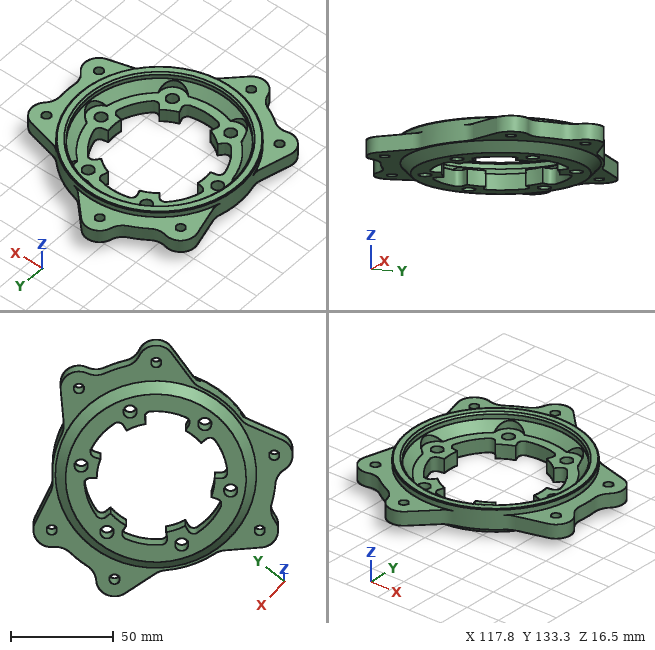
import cadquery as cq
import math

TOTAL_HEIGHT = 16.5
FLANGE_BOTTOM = 5.0
FLANGE_TOP = 13.0
FLOOR_TOP = 8.0

RING_RADIUS = 101.0 / 2
BORE_RADIUS = 91.0 / 2
CONE_TOP_RADIUS = 49.0
CONE_BOTTOM_RADIUS = CONE_TOP_RADIUS - FLANGE_BOTTOM
FLOOR_RADIUS = BORE_RADIUS - (FLANGE_TOP - FLOOR_TOP)
OUTER_CHAMFER = 0.5
BORE_CHAMFER = 1.0

PAIR_COUNT = 3
LUG_X = 55.0
LUG_Y = 20.0
LUG_RADIUS = 9.0
LUG_HOLE_DIAMETER = 5.0
LUG_CIRCLE_RADIUS = math.hypot(LUG_X, LUG_Y)
LUG_ANGLE = math.degrees(math.atan2(LUG_Y, LUG_X))
FLANK_NORMAL_ANGLE = 75.0
FLANK_FILLET = 10.0
SADDLE_FILLET = 10.0

OPENING_RADIUS = 35.0
TAB_INNER_RADIUS = 28.75
TAB_HALF_ANGLE = 10.0
TAB_FILLET = 3.0
TAB_COUNT = 6
TAB_HOLE_CIRCLE_RADIUS = 37.0
TAB_HOLE_DIAMETER = 6.5
TAB_CLEARANCE_RADIUS = 8.0


def polar(radius, angle, center=(0.0, 0.0)):
    """Point at a radius and an angle in degrees from a center."""
    turn = math.radians(angle)
    return (center[0] + radius * math.cos(turn), center[1] + radius * math.sin(turn))


def direction(start, end):
    """Angle in degrees of the line from start to end."""
    return math.degrees(math.atan2(end[1] - start[1], end[0] - start[0]))


def mirrored(point):
    """Point on the other side of the X axis."""
    return (point[0], -point[1])


def ring_body():
    """Dish turned about Z, with a conical underside and wall, a short bore and a closed flat floor."""
    profile = (
        cq.Workplane("XZ")
        .moveTo(0, 0)
        .lineTo(CONE_BOTTOM_RADIUS, 0)
        .lineTo(CONE_TOP_RADIUS, FLANGE_BOTTOM)
        .lineTo(RING_RADIUS, FLANGE_BOTTOM)
        .lineTo(RING_RADIUS, TOTAL_HEIGHT - OUTER_CHAMFER)
        .lineTo(RING_RADIUS - OUTER_CHAMFER, TOTAL_HEIGHT)
        .lineTo(BORE_RADIUS + BORE_CHAMFER, TOTAL_HEIGHT)
        .lineTo(BORE_RADIUS, TOTAL_HEIGHT - BORE_CHAMFER)
        .lineTo(BORE_RADIUS, FLANGE_TOP)
        .lineTo(FLOOR_RADIUS, FLOOR_TOP)
        .lineTo(0, FLOOR_TOP)
        .close()
    )
    return profile.revolve(360, (0, 0, 0), (0, 1, 0))


def lug_pair():
    """The pair of lugs about +X, as a plate reaching inward to the edge of the outer cone."""
    lug = (LUG_X, LUG_Y)

    normal = polar(1.0, FLANK_NORMAL_ANGLE)
    flank_distance = LUG_X * normal[0] + LUG_Y * normal[1] + LUG_RADIUS
    flank_fillet_distance = RING_RADIUS + FLANK_FILLET
    flank_spread = math.degrees(math.acos((flank_distance + FLANK_FILLET) / flank_fillet_distance))
    ring_angle = FLANK_NORMAL_ANGLE - flank_spread
    flank_fillet_center = polar(flank_fillet_distance, ring_angle)
    ring_touch = polar(RING_RADIUS, ring_angle)
    flank_fillet_middle = polar(
        FLANK_FILLET, (ring_angle + FLANK_NORMAL_ANGLE) / 2 + 180, flank_fillet_center
    )
    flank_inner = polar(FLANK_FILLET, FLANK_NORMAL_ANGLE + 180, flank_fillet_center)
    flank_outer = polar(LUG_RADIUS, FLANK_NORMAL_ANGLE, lug)

    saddle_fillet_distance = LUG_CIRCLE_RADIUS + SADDLE_FILLET
    lug_to_fillet = LUG_RADIUS + SADDLE_FILLET
    cosine = (LUG_CIRCLE_RADIUS**2 + saddle_fillet_distance**2 - lug_to_fillet**2) / (
        2 * LUG_CIRCLE_RADIUS * saddle_fillet_distance
    )
    saddle_angle = LUG_ANGLE - math.degrees(math.acos(cosine))
    saddle_fillet_center = polar(saddle_fillet_distance, saddle_angle)
    lug_touch_angle = direction(lug, saddle_fillet_center)
    lug_touch = polar(LUG_RADIUS, lug_touch_angle, lug)
    lug_middle = polar(LUG_RADIUS, (FLANK_NORMAL_ANGLE + lug_touch_angle) / 2, lug)
    saddle_fillet_middle = polar(
        SADDLE_FILLET, (lug_touch_angle + saddle_angle) / 2 + 180, saddle_fillet_center
    )
    saddle_end = polar(LUG_CIRCLE_RADIUS, saddle_angle)
    inner_end = polar(CONE_TOP_RADIUS, ring_angle)

    outline = (
        cq.Workplane("XY", origin=(0, 0, FLANGE_BOTTOM))
        .moveTo(*inner_end)
        .lineTo(*ring_touch)
        .threePointArc(flank_fillet_middle, flank_inner)
        .lineTo(*flank_outer)
        .threePointArc(lug_middle, lug_touch)
        .threePointArc(saddle_fillet_middle, saddle_end)
        .threePointArc((LUG_CIRCLE_RADIUS, 0), mirrored(saddle_end))
        .threePointArc(mirrored(saddle_fillet_middle), mirrored(lug_touch))
        .threePointArc(mirrored(lug_middle), mirrored(flank_outer))
        .lineTo(*mirrored(flank_inner))
        .threePointArc(mirrored(flank_fillet_middle), mirrored(ring_touch))
        .lineTo(*mirrored(inner_end))
        .threePointArc((CONE_TOP_RADIUS, 0), inner_end)
        .close()
    )
    holes = (
        cq.Workplane("XY", origin=(0, 0, FLANGE_BOTTOM))
        .pushPoints([lug, mirrored(lug)])
        .circle(LUG_HOLE_DIAMETER / 2)
        .extrude(FLANGE_TOP - FLANGE_BOTTOM)
    )
    return outline.extrude(FLANGE_TOP - FLANGE_BOTTOM).cut(holes)


def opening_window():
    """Opening between the tab on +X and the next one, with radial sides and rounded outer corners."""
    start = TAB_HALF_ANGLE
    middle = 180 / TAB_COUNT
    end = 2 * middle - TAB_HALF_ANGLE
    window = (
        cq.Workplane("XY")
        .lineTo(*polar(OPENING_RADIUS, start))
        .threePointArc(polar(OPENING_RADIUS, middle), polar(OPENING_RADIUS, end))
        .close()
        .extrude(FLOOR_TOP)
    )
    axis_edge = cq.selectors.NearestToPointSelector((0, 0, FLOOR_TOP / 2))
    corners = cq.selectors.SubtractSelector(cq.selectors.StringSyntaxSelector("|Z"), axis_edge)
    return window.edges(corners).fillet(TAB_FILLET)


def tab_hole():
    """Hole of the tab on +X, with the round clearance it cuts into the conical wall."""
    hole = (
        cq.Workplane("XY")
        .center(TAB_HOLE_CIRCLE_RADIUS, 0)
        .circle(TAB_HOLE_DIAMETER / 2)
        .extrude(TOTAL_HEIGHT)
    )
    clearance = (
        cq.Workplane("XY", origin=(TAB_HOLE_CIRCLE_RADIUS, 0, FLOOR_TOP))
        .circle(TAB_CLEARANCE_RADIUS)
        .extrude(TOTAL_HEIGHT - FLOOR_TOP)
    )
    return hole.union(clearance)


def around_axis(shape, count):
    """Equally spaced copies of a shape about Z."""
    return [shape.rotate((0, 0, 0), (0, 0, 1), i * 360 / count) for i in range(count)]


def build():
    """Dish and lugs joined, then the central opening and the tab holes cut."""
    body = ring_body()
    for pair in around_axis(lug_pair(), PAIR_COUNT):
        body = body.union(pair)
    bore = cq.Workplane("XY").circle(TAB_INNER_RADIUS).extrude(FLOOR_TOP)
    body = body.cut(bore)
    for window in around_axis(opening_window(), TAB_COUNT):
        body = body.cut(window)
    for hole in around_axis(tab_hole(), TAB_COUNT):
        body = body.cut(hole)
    return body


result = build()